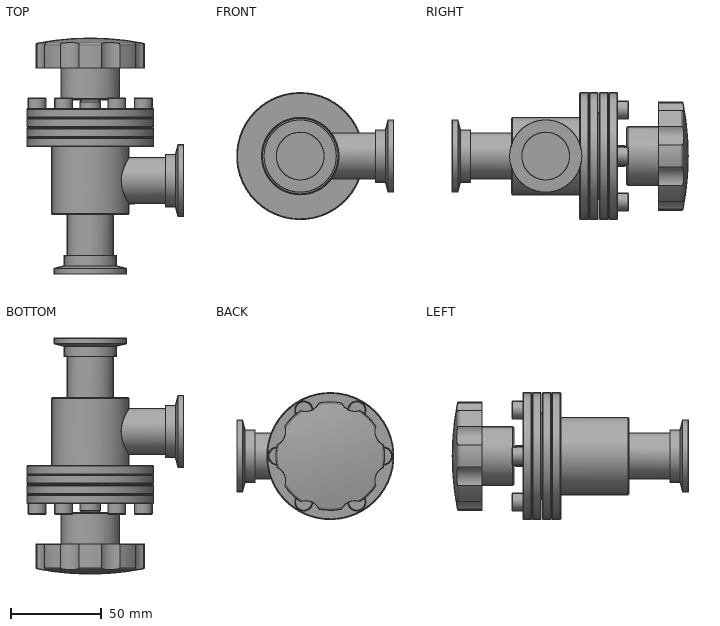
import cadquery as cq
import math


port_reach = 51.5
rim_radius = 19.9
rim_thickness = 3.1
cone_top = 4.5
collar_radius = 14.5
collar_length = 10.2
tube_radius = 12.8
recess_radius = 13.2
recess_depth = 3.0

body_bottom = 32.8
body_radius = 21.4
body_chamfer = 0.5

flange_bottom = 70.3
flange_radius = 35.0
plate_thickness = 5.0
plate_chamfer = 0.4
seam_gap = 0.3
seam_radius = 34.5
pair_gap = 0.7
gasket_radius = 24.0
pair_thickness = 2 * plate_thickness + seam_gap
stack_top = flange_bottom + 2 * pair_thickness + pair_gap

bolt_count = 6
bolt_circle_radius = 29.3
bolt_radius = 5.0
bolt_height = 6.0
bolt_chamfer = 0.4

overall_length = 130.2
spindle_radius = 5.7
spindle_chamfer = 1.0
hub_bottom = 96.1
hub_radius = 16.3
hub_chamfer = 0.8
wheel_bottom = 113.7
wheel_radius = 30
wheel_edge_height = 127.2
wheel_fillet = 0.9
wheel_recess_radius = 23.8
wheel_recess_depth = 7.7
wheel_recess_fillet = 1.8
flute_count = 8
flute_radius = 8.3
flute_floor_radius = 27.3


def cylinder(radius, bottom, height):
    """Cylinder on the main axis, growing towards +Y."""
    return cq.Workplane("XZ", origin=(0, bottom, 0)).circle(radius).extrude(-height)


def make_port():
    """Clamp-flange port on the main axis, face at y = 0, solid up to the crossing point."""
    profile = (
        cq.Workplane("XY")
        .lineTo(rim_radius, 0)
        .lineTo(rim_radius, rim_thickness)
        .lineTo(collar_radius, cone_top)
        .lineTo(collar_radius, collar_length)
        .lineTo(tube_radius, collar_length)
        .lineTo(tube_radius, port_reach)
        .lineTo(0, port_reach)
        .close()
    )
    port = profile.revolve(360, (0, 0, 0), (0, 1, 0))
    return port.cut(cylinder(recess_radius, 0, recess_depth))


def make_body():
    body = cylinder(body_radius, body_bottom, flange_bottom - body_bottom)
    return body.faces("<Y").chamfer(body_chamfer)


def make_flange_pair(bottom):
    """Two chamfered plates with a shallow groove between them."""
    pair = cylinder(seam_radius, bottom, pair_thickness)
    for plate_bottom in (bottom, bottom + plate_thickness + seam_gap):
        plate = cylinder(flange_radius, plate_bottom, plate_thickness)
        pair = pair.union(plate.edges().chamfer(plate_chamfer))
    return pair


def make_flange_stack():
    upper_bottom = flange_bottom + pair_thickness + pair_gap
    gasket = cylinder(gasket_radius, flange_bottom + pair_thickness, pair_gap)
    return make_flange_pair(flange_bottom).union(gasket).union(make_flange_pair(upper_bottom))


def make_bolts():
    heads = (
        cq.Workplane("XZ", origin=(0, stack_top, 0))
        .polarArray(bolt_circle_radius, 0, 360, bolt_count)
        .circle(bolt_radius)
        .extrude(-bolt_height)
    )
    return heads.faces(">Y").chamfer(bolt_chamfer)


def make_spindle():
    spindle = cylinder(spindle_radius, stack_top, hub_bottom - stack_top)
    return spindle.faces(">Y").chamfer(spindle_chamfer)


def make_flutes():
    """Cutters for the finger flutes, centred midway between the lobes."""
    first_angle = 180 / flute_count
    return (
        cq.Workplane("XZ", origin=(0, wheel_bottom, 0))
        .polarArray(flute_floor_radius + flute_radius, first_angle, 360, flute_count)
        .circle(flute_radius)
        .extrude(wheel_bottom - overall_length)
    )


def make_wheel_recess():
    """Cutter for the round-cornered ring recess between the hub and the wheel rim."""
    ring = cylinder(wheel_recess_radius, wheel_bottom, wheel_recess_depth)
    ring = ring.cut(cylinder(hub_radius, wheel_bottom, wheel_recess_depth))
    return ring.faces(">Y").edges().fillet(wheel_recess_fillet)


def make_handwheel():
    dome_rise = overall_length - wheel_edge_height
    dome_radius = (wheel_radius**2 + dome_rise**2) / (2 * dome_rise)
    mid_radius = wheel_radius / 2
    mid_height = overall_length - dome_radius + math.sqrt(dome_radius**2 - mid_radius**2)
    wheel = (
        cq.Workplane("XY")
        .moveTo(0, wheel_bottom)
        .lineTo(wheel_radius, wheel_bottom)
        .lineTo(wheel_radius, wheel_edge_height)
        .threePointArc((mid_radius, mid_height), (0, overall_length))
        .close()
        .revolve(360, (0, 0, 0), (0, 1, 0))
    )
    wheel = wheel.faces(">Y").edges("%CIRCLE").fillet(wheel_fillet)
    wheel = wheel.cut(make_flutes())
    wheel = wheel.cut(make_wheel_recess())
    hub = cylinder(hub_radius, hub_bottom, wheel_bottom + wheel_recess_depth - hub_bottom)
    return wheel.union(hub.faces("<Y").chamfer(hub_chamfer))


end_port = make_port()
side_port = end_port.rotate((0, port_reach, 0), (0, port_reach, 1), 90)

result = (
    make_body()
    .union(end_port)
    .union(side_port)
    .union(make_flange_stack())
    .union(make_bolts())
    .union(make_spindle())
    .union(make_handwheel())
)